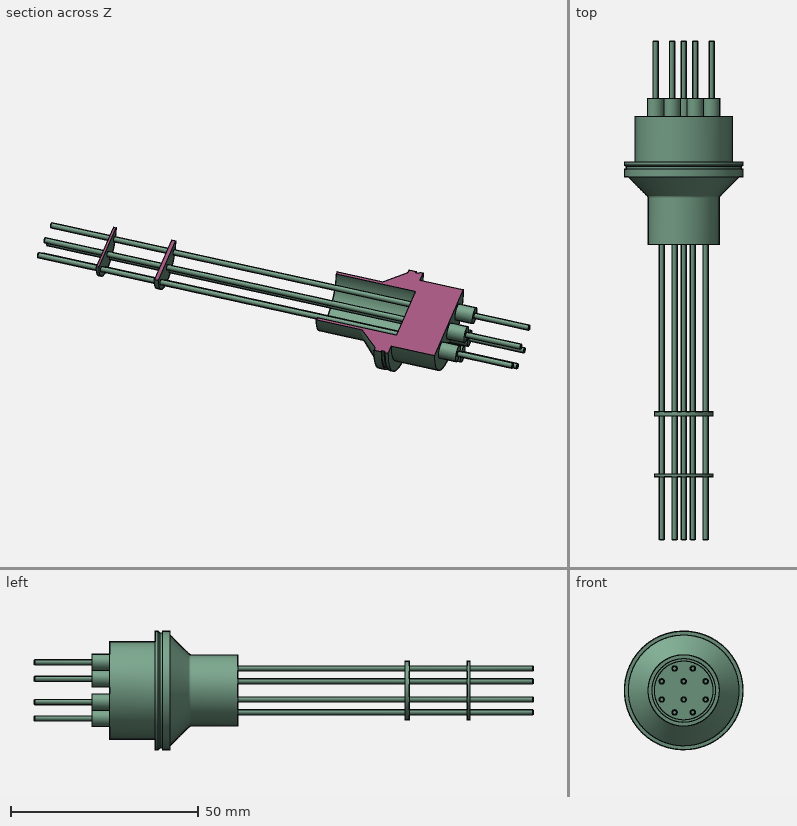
import cadquery as cq
import math

total_length = 133.35
flange_diameter = 31.75
rear_end = total_length / 2
front_end = -total_length / 2

body_radius = 13.05
flange_radius = flange_diameter / 2
groove_radius = 15.4
cone_radius = 14.8
nose_radius = 9.525
bore_radius = 8.5
cone_fillet = 0.6

rear_pin_length = 15.4
collar_length = 4.8
body_length = 12.1
lip_thickness = 0.85
groove_width = 1.1
groove_slope = 0.45
flange_thickness = 2.1
nose_length = 12.8

collar_rear = rear_end - rear_pin_length
body_rear = collar_rear - collar_length
flange_rear = body_rear - body_length
groove_rear = flange_rear - lip_thickness
groove_front = groove_rear - groove_width
flange_front = groove_front - flange_thickness
cone_front = flange_front - (cone_radius - nose_radius)
nose_front = cone_front - nose_length

pin_radius = 0.72
pin_chamfer = 0.2
rear_ring_radius = 8.1
front_ring_radius = 6.35
ring_pin_count = 8
collar_radius = 2.2
disc_radius = 7.85
inner_disc_distance, inner_disc_thickness = 44.6, 1.2
outer_disc_distance, outer_disc_thickness = 61.25, 0.8


def cylinder(radius, y_front, y_rear, x=0, z=0):
    """Cylinder along Y between two stations."""
    plane = cq.Plane(origin=(x, y_front, z), xDir=(1, 0, 0), normal=(0, 1, 0))
    return cq.Workplane(plane).circle(radius).extrude(y_rear - y_front)


def pin_places(ring_radius):
    """Pins in a ring, half a pitch off the axes, plus two on the Z axis level with ring pins."""
    pitch = 2 * math.pi / ring_pin_count
    angles = [(i + 0.5) * pitch for i in range(ring_pin_count)]
    ring = [(ring_radius * math.cos(a), ring_radius * math.sin(a)) for a in angles]
    inner_height = ring_radius * math.sin(pitch / 2)
    return ring + [(0, inner_height), (0, -inner_height)]


def make_shell():
    """Turned body: rear cylinder, grooved flange, cone and hollow nose."""
    outline = [
        (0, body_rear),
        (body_radius, body_rear),
        (body_radius, flange_rear),
        (flange_radius, flange_rear),
        (flange_radius, groove_rear),
        (groove_radius, groove_rear - groove_slope),
        (groove_radius, groove_front),
        (flange_radius, groove_front),
        (flange_radius, flange_front),
        (cone_radius, flange_front),
        (nose_radius, cone_front),
        (nose_radius, nose_front),
        (0, nose_front),
    ]
    solid = cq.Workplane("XY").polyline(outline).close().revolve(360, (0, 0), (0, 1))
    cone_corner = cq.selectors.NearestToPointSelector((0, cone_front, 0))
    solid = solid.edges("%CIRCLE").edges(cone_corner).fillet(cone_fillet)
    return solid.cut(cylinder(bore_radius, nose_front, flange_rear))


def make_rear_pins():
    """Collared pins standing on the rear face of the body."""
    pieces = []
    for x, z in pin_places(rear_ring_radius):
        pieces.append(cylinder(pin_radius, body_rear, rear_end, x, z).faces(">Y").chamfer(pin_chamfer))
        pieces.append(cylinder(collar_radius, body_rear, collar_rear, x, z))
    return pieces


def make_front_pins():
    """Long pins running from the bore floor out through the nose."""
    pieces = []
    for x, z in pin_places(front_ring_radius):
        pieces.append(cylinder(pin_radius, front_end, flange_rear, x, z).faces("<Y").chamfer(pin_chamfer))
    return pieces


def make_disc(distance, thickness):
    """Spacer disc carried by the long pins, its rear face set off from the nose."""
    disc_rear = nose_front - distance
    return cylinder(disc_radius, disc_rear - thickness, disc_rear)


discs = [
    make_disc(inner_disc_distance, inner_disc_thickness),
    make_disc(outer_disc_distance, outer_disc_thickness),
]
result = make_shell()
for piece in make_rear_pins() + make_front_pins() + discs:
    result = result.union(piece)